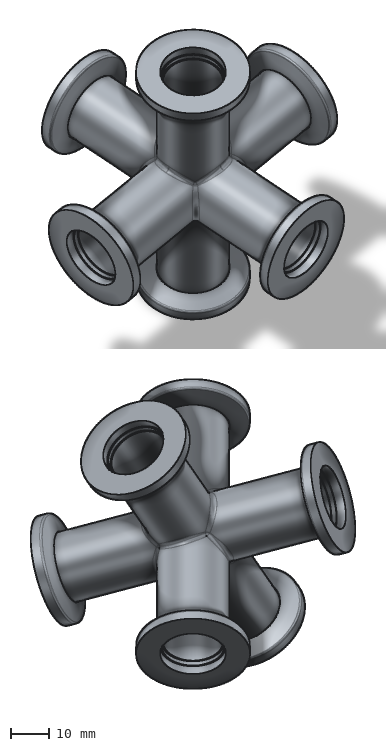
import cadquery as cq
import math


overall_length = 80.0

tube_diameter = 19.0
tube_bore_diameter = 15.8
junction_fillet = 1.3

flange_diameter = 30.0
flange_rim_width = 3.0
cone_angle = 15.0
rim_fillet = 0.6
seal_bore_diameter = 17.2
seal_bore_depth = 2.6
lip_bore_diameter = 16.5
socket_diameter = 19.3
socket_floor_depth = 3.9

half_length = overall_length / 2
tube_end = half_length - socket_floor_depth
cone_height = (flange_diameter - socket_diameter) / 2 * math.tan(math.radians(cone_angle))
flange_thickness = flange_rim_width + cone_height

AXES = (cq.Vector(1, 0, 0), cq.Vector(0, 1, 0), cq.Vector(0, 0, 1))
DIRECTIONS = [axis * sign for axis in AXES for sign in (1, -1)]


def crossing_cylinders(diameter):
    """Three equal cylinders along X, Y and Z, joined at the origin."""
    cylinders = [
        cq.Workplane(cq.Solid.makeCylinder(diameter / 2, 2 * tube_end, axis * -tube_end, axis))
        for axis in AXES
    ]
    return cylinders[0].union(cylinders[1]).union(cylinders[2])


def is_junction_edge(edge):
    """The seams between tubes are the only edges lying wholly near the centre."""
    box = edge.BoundingBox()
    reach = max(abs(box.xmin), abs(box.xmax), abs(box.ymin), abs(box.ymax), abs(box.zmin), abs(box.zmax))
    return reach < tube_diameter


def make_cross():
    """Six tube stubs meeting at the centre, with rounded seams and a through bore on every axis."""
    outside = crossing_cylinders(tube_diameter)
    seams = outside.edges().filter(is_junction_edge)
    outside = seams.fillet(junction_fillet)
    return outside.cut(crossing_cylinders(tube_bore_diameter))


def make_flange(direction):
    """Weld flange whose sealing face is at the far end of the given direction."""
    flange_radius = flange_diameter / 2
    seal_bore_radius = seal_bore_diameter / 2
    lip_bore_radius = lip_bore_diameter / 2
    socket_radius = socket_diameter / 2

    section = (
        cq.Workplane("XZ")
        .moveTo(seal_bore_radius, 0)
        .lineTo(flange_radius, 0)
        .lineTo(flange_radius, flange_rim_width)
        .lineTo(socket_radius, flange_thickness)
        .lineTo(socket_radius, socket_floor_depth)
        .lineTo(lip_bore_radius, socket_floor_depth)
        .lineTo(lip_bore_radius, seal_bore_depth)
        .lineTo(seal_bore_radius, seal_bore_depth)
        .close()
    )
    flange = section.revolve(360, (0, 0, 0), (0, 1, 0))

    rim_edges = flange.edges("%CIRCLE").edges(cq.selectors.RadiusNthSelector(-1))
    flange = rim_edges.edges(">Z").fillet(rim_fillet)

    place = cq.Plane(direction * half_length, normal=direction * -1)
    return flange.val().located(cq.Location(place))


cross = make_cross()
flanges = [make_flange(direction) for direction in DIRECTIONS]

result = cq.Compound.makeCompound([cross.val(), *flanges])